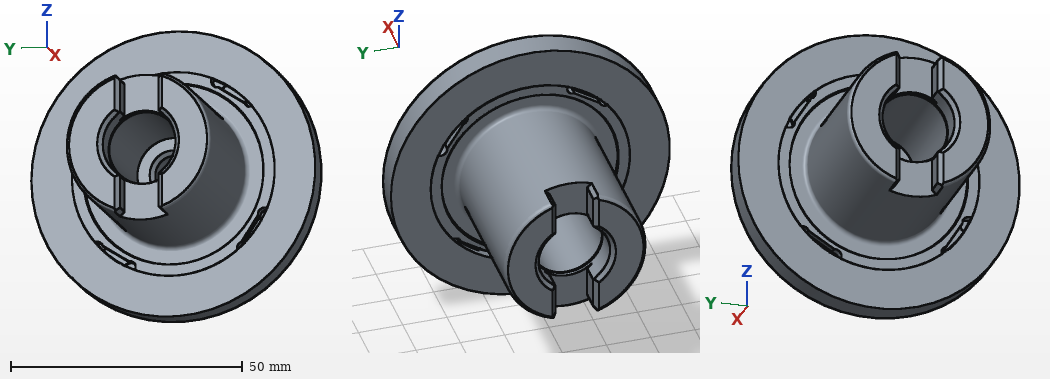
import cadquery as cq
import math

flange_diameter = 63.0
flange_thickness = 6.05
total_length = 40.0
flange_face_x = total_length - flange_thickness
tube_diameter = 32.0
tube_radius = tube_diameter / 2
edge_break = 1.0
tip_drop = 0.7

bore_radius = 8.05
pilot_radius = 7.95
pilot_start_x = 6.75
lead_in_length = 0.1
bore_floor_x = flange_face_x
through_radius = 4.2

slot_width = 8.5
slot_depth = 5.55

outer_recess_radius = 22.5
outer_recess_depth = 0.1
inner_recess_radius = 20.05
inner_recess_floor_radius = 19.85
inner_recess_depth = 0.6
recess_floor_x = flange_face_x + inner_recess_depth

pocket_count = 4
pocket_distance = 22.35
pocket_angle = 57.4
pocket_end_offsets = (-2.6, 6.05)
pocket_end_radius = 1.5
pocket_half_width = 1.2
pocket_depth = 1.9
pocket_end_depth = 2.5


def disc(radius, start_x, end_x):
    """Solid cylinder on the X axis."""
    return cq.Workplane("YZ").workplane(offset=start_x).circle(radius).extrude(end_x - start_x)


def cone(start_radius, end_radius, start_x, end_x):
    """Solid truncated cone on the X axis."""
    outline = [(start_x, 0), (start_x, start_radius), (end_x, end_radius), (end_x, 0)]
    return cq.Workplane("XY").polyline(outline).close().revolve(360, (0, 0, 0), (1, 0, 0))


def body():
    """Flange with its recessed face and the tube blended into it."""
    flange = disc(flange_diameter / 2, flange_face_x, total_length)
    inner_recess = cone(inner_recess_radius, inner_recess_floor_radius, flange_face_x, recess_floor_x)
    flange = flange.cut(disc(outer_recess_radius, flange_face_x, flange_face_x + outer_recess_depth))
    flange = flange.cut(inner_recess)
    root_radius = tube_radius + edge_break
    tip_arc_radius = (edge_break**2 + tip_drop**2) / (2 * tip_drop)
    tube = (
        cq.Workplane("XY")
        .lineTo(0, tube_radius - tip_drop)
        .radiusArc((edge_break, tube_radius), tip_arc_radius)
        .lineTo(recess_floor_x - edge_break, tube_radius)
        .radiusArc((recess_floor_x, root_radius), -edge_break)
        .lineTo(recess_floor_x, 0)
        .close()
        .revolve(360, (0, 0, 0), (1, 0, 0))
    )
    return flange.union(tube)


def stepped_hole():
    """Bore, its chamfered mouth and the smaller chamfered through hole."""
    lead_in_x = pilot_start_x - lead_in_length
    hole = disc(bore_radius, 0, lead_in_x)
    hole = hole.union(cone(bore_radius, pilot_radius, lead_in_x, pilot_start_x))
    hole = hole.union(cone(bore_radius + edge_break, bore_radius, 0, edge_break))
    hole = hole.union(disc(pilot_radius, pilot_start_x, bore_floor_x))
    hole = hole.union(disc(through_radius, bore_floor_x, total_length))
    countersink = cone(through_radius + edge_break, through_radius, bore_floor_x, bore_floor_x + edge_break)
    return hole.union(countersink)


def cross_slot():
    """Slot along Z with its mouth, outer and bore edges broken at 45 degrees."""
    half = slot_width / 2
    wide = half + edge_break
    mouth = [
        (0, -wide), (edge_break, -half), (slot_depth, -half),
        (slot_depth, half), (edge_break, half), (0, wide),
    ]
    slot = cq.Workplane("XY").polyline(mouth).close().extrude(tube_diameter, both=True)

    outer_z = math.sqrt(tube_radius**2 - wide**2)
    bore_z = math.sqrt(bore_radius**2 - wide**2)
    for side in (1, -1):
        outer_edge = [
            (0, side * (outer_z - wide)),
            (wide, side * outer_z),
            (wide, side * tube_radius),
            (-wide, side * tube_radius),
            (-wide, side * outer_z),
        ]
        bore_edge = [
            (0, side * (bore_z + wide)),
            (wide, side * bore_z),
            (-wide, side * bore_z),
        ]
        for outline in (outer_edge, bore_edge):
            slot = slot.union(cq.Workplane("YZ").polyline(outline).close().extrude(slot_depth))
    return slot


def pockets():
    """Four straight pockets with round ends, cut off at the outer recess edge."""
    first_end, last_end = pocket_end_offsets
    face = cq.Workplane("YZ").workplane(offset=flange_face_x)
    middle = (
        face.center((first_end + last_end) / 2, pocket_distance)
        .rect(last_end - first_end, 2 * pocket_half_width)
        .extrude(pocket_depth)
    )
    ends = (
        face.pushPoints([(offset, pocket_distance) for offset in pocket_end_offsets])
        .circle(pocket_end_radius)
        .extrude(pocket_end_depth)
    )
    pocket = middle.union(ends).mirror("XZ")
    pocket = pocket.intersect(disc(outer_recess_radius, flange_face_x, total_length))
    pocket = pocket.rotate((0, 0, 0), (1, 0, 0), 90 - pocket_angle)
    pattern = cq.Workplane("XY")
    for index in range(pocket_count):
        turned = pocket.rotate((0, 0, 0), (1, 0, 0), index * 360 / pocket_count)
        pattern = pattern.union(turned)
    return pattern


result = body().cut(stepped_hole()).cut(cross_slot()).cut(pockets())